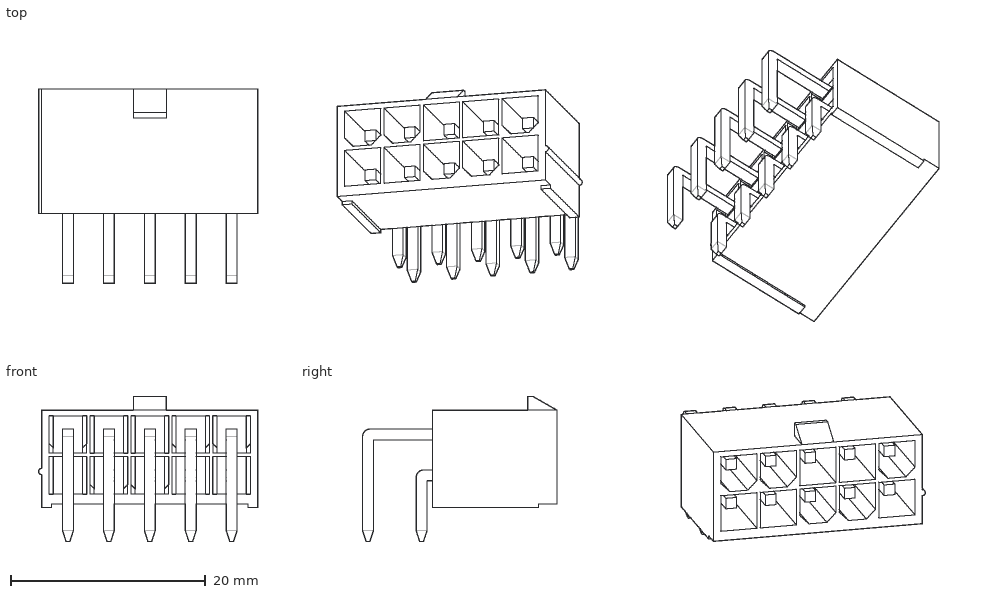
import cadquery as cq


BODY_WIDTH = 22.2
BODY_DEPTH = 12.8
BODY_HEIGHT = 10.0
FOOT_HEIGHT = 0.35
FOOT_WIDTH = 1.03
FOOT_SETBACK = 1.9

COLUMNS = 5
PITCH = 4.2
PARTITION = 0.36
CELL_SIZE = PITCH - PARTITION
TOP_WALL = 0.58
UPPER_ROW_Z = BODY_HEIGHT - TOP_WALL - CELL_SIZE / 2
LOWER_ROW_Z = UPPER_ROW_Z - PITCH
KEYED_UPPER_COLUMNS = (0, 3, 4)
KEYED_LOWER_COLUMNS = (1, 2)
KEY_CHAMFER = 0.97

BLOCK_WIDTH = 3.03
BLOCK_RECESS = 0.8
BLOCK_THICKNESS = 2.0
BLOCK_END = BLOCK_RECESS + BLOCK_THICKNESS

PIN_SIZE = 1.14
BEND_RADIUS = 0.8
PIN_DROP = 3.5
TIP_LENGTH = 1.14
TIP_SIZE = 0.4
LEG_ROW_SPACING = 5.5
UPPER_LEG_OUTSIDE = 7.17
UPPER_LEG_Y = -(UPPER_LEG_OUTSIDE - PIN_SIZE / 2)
LOWER_LEG_Y = UPPER_LEG_Y + LEG_ROW_SPACING
PIN_END_GAP = 3.0

LATCH_WIDTH = 3.38
LATCH_LENGTH = 3.02
LATCH_FLAT = 0.57
LATCH_HEIGHT = 1.4

RIB_RADIUS = 0.32
RIB_Z = 3.7


def box(x_range, y_range, z_range):
    """Box between the given limits on each axis."""
    size = [high - low for low, high in (x_range, y_range, z_range)]
    corner = (x_range[0], y_range[0], z_range[0])
    return cq.Workplane("XY").box(*size, centered=False).translate(corner)


def column_x(column):
    return (column - (COLUMNS - 1) / 2) * PITCH


def housing_shell():
    half_width = BODY_WIDTH / 2
    shell = box((-half_width, half_width), (0, BODY_DEPTH), (FOOT_HEIGHT, BODY_HEIGHT))
    foot_span = (0, BODY_DEPTH - FOOT_SETBACK)
    inner_x = half_width - FOOT_WIDTH
    for x_range in ((-half_width, -inner_x), (inner_x, half_width)):
        shell = shell.union(box(x_range, foot_span, (0, FOOT_HEIGHT)))
    return shell


def cell_opening(x, z):
    half = CELL_SIZE / 2
    return box((x - half, x + half), (0, BODY_DEPTH), (z - half, z + half))


def pin_block(x, z):
    half_width = BLOCK_WIDTH / 2
    half_height = CELL_SIZE / 2
    return box(
        (x - half_width, x + half_width),
        (BLOCK_RECESS, BLOCK_END),
        (z - half_height, z + half_height),
    )


def key_corners(x, z):
    """Corner fillers that bevel the two lower corners of a mating cavity."""
    floor = z - CELL_SIZE / 2
    corners = cq.Workplane("XY")
    for side in (-1, 1):
        wall = x + side * CELL_SIZE / 2
        corner = (
            cq.Workplane("XZ", origin=(0, BLOCK_END, 0))
            .moveTo(wall, floor)
            .lineTo(wall - side * KEY_CHAMFER, floor)
            .lineTo(wall, floor + KEY_CHAMFER)
            .close()
            .extrude(-(BODY_DEPTH - BLOCK_END))
        )
        corners = corners.add(corner)
    return corners


def pin(x, z, leg_y):
    """Square pin: straight from the mating cavity, then bent down to a tapered tip."""
    half = PIN_SIZE / 2
    taper_z = -PIN_DROP + TIP_LENGTH
    pin_end = BODY_DEPTH - PIN_END_GAP
    bent_bar = (
        cq.Workplane("YZ", origin=(x - half, 0, 0))
        .moveTo(pin_end, z + half)
        .lineTo(leg_y - half + BEND_RADIUS, z + half)
        .radiusArc((leg_y - half, z + half - BEND_RADIUS), -BEND_RADIUS)
        .lineTo(leg_y - half, taper_z)
        .lineTo(leg_y + half, taper_z)
        .lineTo(leg_y + half, z - half)
        .lineTo(pin_end, z - half)
        .close()
        .extrude(PIN_SIZE)
    )
    tip = (
        cq.Workplane("XY", origin=(x, leg_y, taper_z))
        .rect(PIN_SIZE, PIN_SIZE)
        .workplane(offset=-TIP_LENGTH)
        .rect(TIP_SIZE, TIP_SIZE)
        .loft(ruled=True)
    )
    return bent_bar.union(tip)


def latch():
    inner_y = BODY_DEPTH - LATCH_LENGTH
    top = BODY_HEIGHT + LATCH_HEIGHT
    return (
        cq.Workplane("YZ", origin=(-LATCH_WIDTH / 2, 0, 0))
        .moveTo(BODY_DEPTH, BODY_HEIGHT)
        .lineTo(inner_y + LATCH_FLAT, top)
        .lineTo(inner_y, top)
        .lineTo(inner_y, BODY_HEIGHT)
        .close()
        .extrude(LATCH_WIDTH)
    )


def side_rib():
    """Round bar centred on the -X wall; its inner half merges into that wall."""
    return (
        cq.Workplane("XZ", origin=(-BODY_WIDTH / 2, 0, RIB_Z))
        .circle(RIB_RADIUS)
        .extrude(-BODY_DEPTH)
    )


def build_header():
    header = housing_shell().union(latch()).union(side_rib())
    rows = (
        (UPPER_ROW_Z, UPPER_LEG_Y, KEYED_UPPER_COLUMNS),
        (LOWER_ROW_Z, LOWER_LEG_Y, KEYED_LOWER_COLUMNS),
    )
    for z, leg_y, keyed_columns in rows:
        for column in range(COLUMNS):
            x = column_x(column)
            header = header.cut(cell_opening(x, z)).union(pin_block(x, z))
            header = header.union(pin(x, z, leg_y))
            if column in keyed_columns:
                for corner in key_corners(x, z).vals():
                    header = header.union(cq.Workplane(corner))
    return header


result = build_header()